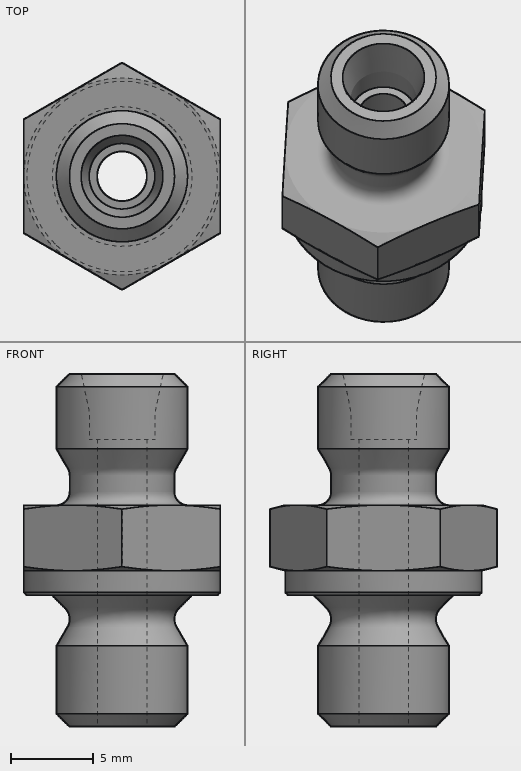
import cadquery as cq
import math

total_height = 21.5
collar_bottom = 8.0
hex_bottom = 9.5
hex_top = 13.5

stud_radius = 4.0
neck_radius = 3.2
end_chamfer = stud_radius - neck_radius
hex_across_flats = 12.0
hex_chamfer_angle = math.radians(15)
collar_chamfer = 0.2

taper_angle = math.radians(30)

upper_stud_length = 4.58
upper_blend_radius = 0.8
neck_root_radius = 0.8

lower_stud_length = 4.92
lower_blend_radius = 0.95
lower_flare_angle = math.radians(45)

mouth_radius = 2.5
socket_radius = 2.0
bore_radius = 1.5
seat_half_angle = math.radians(12)
socket_depth = 4.0


def blend_point(center_z, blend_radius, angle):
    """Point on a concave neck arc where its tangent makes the angle with the axis."""
    radius = neck_radius + blend_radius * (1 - math.cos(angle))
    return radius, center_z + blend_radius * math.sin(angle)


def taper_height(blend_radius):
    """Axial length from the stud edge to the narrowest point of a blend arc."""
    start_radius, start_rise = blend_point(0, blend_radius, taper_angle)
    return (stud_radius - start_radius) / math.tan(taper_angle) + start_rise


def make_turned_body():
    """Both studs, their undercuts and the round collar, as one revolved profile."""
    collar_radius = hex_across_flats / 2

    lower_arc_z = lower_stud_length + taper_height(lower_blend_radius)
    lower_arc_start = blend_point(lower_arc_z, lower_blend_radius, -taper_angle)
    lower_arc_end = blend_point(lower_arc_z, lower_blend_radius, lower_flare_angle)
    flare_height = collar_bottom - lower_arc_end[1]
    flare_radius = lower_arc_end[0] + flare_height * math.tan(lower_flare_angle)

    root_top = hex_top + neck_root_radius
    root_mid = (
        neck_radius + neck_root_radius * (1 - math.sqrt(0.5)),
        root_top - neck_root_radius * math.sqrt(0.5),
    )
    upper_stud_bottom = total_height - upper_stud_length
    upper_arc_z = upper_stud_bottom - taper_height(upper_blend_radius)
    upper_arc_mid = blend_point(upper_arc_z, upper_blend_radius, taper_angle / 2)
    upper_arc_end = blend_point(upper_arc_z, upper_blend_radius, taper_angle)

    profile = (
        cq.Workplane("XZ")
        .moveTo(0, 0)
        .lineTo(neck_radius, 0)
        .lineTo(stud_radius, end_chamfer)
        .lineTo(stud_radius, lower_stud_length)
        .lineTo(*lower_arc_start)
        .threePointArc((neck_radius, lower_arc_z), lower_arc_end)
        .lineTo(flare_radius, collar_bottom)
        .lineTo(collar_radius - collar_chamfer, collar_bottom)
        .lineTo(collar_radius, collar_bottom + collar_chamfer)
        .lineTo(collar_radius, hex_top)
        .lineTo(neck_radius + neck_root_radius, hex_top)
        .threePointArc(root_mid, (neck_radius, root_top))
        .lineTo(neck_radius, upper_arc_z)
        .threePointArc(upper_arc_mid, upper_arc_end)
        .lineTo(stud_radius, upper_stud_bottom)
        .lineTo(stud_radius, total_height - end_chamfer)
        .lineTo(neck_radius, total_height)
        .lineTo(0, total_height)
        .close()
    )
    return profile.revolve(360, (0, 0, 0), (0, 1, 0))


def make_hexagon():
    """Hexagon with corners on the Y axis, its corners chamfered at both ends."""
    flat_radius = hex_across_flats / 2
    corner_radius = flat_radius / math.cos(math.radians(30))
    hexagon = (
        cq.Workplane("XY")
        .workplane(offset=hex_bottom)
        .transformed(rotate=(0, 0, 90))
        .polygon(6, 2 * corner_radius)
        .extrude(hex_top - hex_bottom)
    )
    corner_drop = (corner_radius - flat_radius) * math.tan(hex_chamfer_angle)
    chamfer_envelope = (
        cq.Workplane("XZ")
        .moveTo(0, hex_bottom)
        .lineTo(flat_radius, hex_bottom)
        .lineTo(corner_radius, hex_bottom + corner_drop)
        .lineTo(corner_radius, hex_top - corner_drop)
        .lineTo(flat_radius, hex_top)
        .lineTo(0, hex_top)
        .close()
        .revolve(360, (0, 0, 0), (0, 1, 0))
    )
    return hexagon.intersect(chamfer_envelope)


def make_bore():
    """Through hole that widens at the top into a tube socket with a conical seat."""
    seat_depth = (mouth_radius - socket_radius) / math.tan(seat_half_angle)
    socket_floor = total_height - socket_depth
    return (
        cq.Workplane("XZ")
        .moveTo(0, 0)
        .lineTo(bore_radius, 0)
        .lineTo(bore_radius, socket_floor)
        .lineTo(socket_radius, socket_floor)
        .lineTo(socket_radius, total_height - seat_depth)
        .lineTo(mouth_radius, total_height)
        .lineTo(0, total_height)
        .close()
        .revolve(360, (0, 0, 0), (0, 1, 0))
    )


result = make_turned_body().union(make_hexagon()).cut(make_bore())